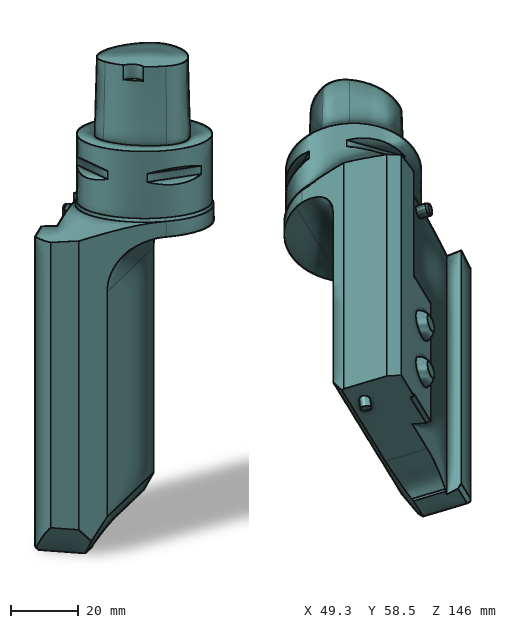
import cadquery as cq
import math


shank_height = 24.0
shank_width_base = 28.3
shank_taper = 1 / 18
lobe_eccentricity = 0.8
key_notch_radius = 3.5
key_notch_center_y = -14.2
key_notch_depth = 4.4

collar_radius = 20.0
collar_height = 20.5
groove_z = -8.1
groove_floor_distance = 17.75
groove_floor_height = 2.5
groove_flank_angle = 30.0
groove_angles = (45, 135, 225, 315)
groove_length = 2 * collar_radius

flange_radius = 20.5
flare_height = 1.0
cone_angle = 15.5
cone_reach = 45.0
body_bottom = -122.0
front_x = -26.0
seat_x = -20.85
y_max = 26.4
y_min = -32.1
back_edge_x = -8.2
corner_x = -22.0
corner_y = 25.0
foot_edge_x = -11.3
foot_corner_x = -19.9
foot_front_y = -27.2
foot_corner_bulge = 0.3

arm_back_x = -3.9
flange_bottom = -26.3
arm_fillet = 15.0

seat_lower_front_y = -20.0
seat_lower_floor_y = -21.3
seat_upper_front_y = 15.5
seat_upper_floor_y = 13.8

wedge_top = -66.3
wedge_front_y = 3.1
wedge_floor_y = 4.7
wedge_bevel_x = 1.25
wedge_bevel_z = 0.8

shelf_bottom = -116.3
shelf_arc_radius = 22.0
shelf_arc_start_y = -6.5
bevel_angle = 30.0
foot_bevel_height = (foot_front_y - y_min) / math.tan(math.radians(bevel_angle))
back_bevel_height = 11.7
toe_bevel_x = 1.2
toe_bevel_z = 1.3

screw_y = 9.3
screw_zs = (-82.0, -101.0)
screw_radius = 9.5 / 2
screw_tip_radius = 2.6
screw_height = 2.75
screw_bulge = 0.35

pin_z = -25.2
pin_radius = 2.0
pin_tip_radius = 3.3 / 2
pin_length = 3.75
pin_bevel = 0.7

nozzle_x = -12.0
nozzle_y = 19.7
nozzle_radius = 3.3 / 2
nozzle_length = 2.8
nozzle_tilt = -20.0

embed = 1.0


def polar(radius, degrees):
    angle = math.radians(degrees)
    return (radius * math.cos(angle), radius * math.sin(angle))


def tangent_point(x, y, side):
    """Where the line from (x, y) touches the flange circle; side is +1 or -1 around Z."""
    offset = math.acos(flange_radius / math.hypot(x, y))
    angle = math.atan2(y, x) + side * offset
    return (flange_radius * math.cos(angle), flange_radius * math.sin(angle))


def shank_section(half_width, z):
    """Constant-width section: three lobe arcs and three flank arcs."""
    lobe_center = 2 * lobe_eccentricity / (2 - math.sqrt(3))
    lobe_radius = half_width + lobe_eccentricity - lobe_center
    joint_x = lobe_center + lobe_radius * math.cos(math.radians(30))
    joint_y = lobe_radius * math.sin(math.radians(30))
    joint_distance = math.hypot(joint_x, joint_y)
    joint_angle = math.degrees(math.atan2(joint_y, joint_x))
    lobe_angles = (90, 210, 330)
    edges = cq.Workplane("XY", origin=(0, 0, z))
    edges = edges.moveTo(*polar(joint_distance, lobe_angles[0] - joint_angle))
    for lobe in lobe_angles:
        lobe_tip = polar(half_width + lobe_eccentricity, lobe)
        edges = edges.threePointArc(lobe_tip, polar(joint_distance, lobe + joint_angle))
        flank_middle = polar(half_width - lobe_eccentricity, lobe + 60)
        edges = edges.threePointArc(flank_middle, polar(joint_distance, lobe + 120 - joint_angle))
    return edges.close().val()


def make_shank():
    base_half = shank_width_base / 2
    top_half = base_half - shank_height * shank_taper / 2
    sections = [shank_section(base_half, 0), shank_section(top_half, shank_height)]
    shank = cq.Workplane(cq.Solid.makeLoft(sections, True))
    notch = (
        cq.Workplane("XY", origin=(0, key_notch_center_y, shank_height - key_notch_depth))
        .circle(key_notch_radius)
        .extrude(key_notch_depth)
    )
    return shank.cut(notch)


def make_collar():
    collar = cq.Workplane("XY").circle(collar_radius).extrude(-collar_height)
    depth = collar_radius - groove_floor_distance
    floor_half = groove_floor_height / 2
    mouth_half = floor_half + depth * math.tan(math.radians(groove_flank_angle))
    groove = (
        cq.Workplane("XZ", origin=(0, groove_length / 2, groove_z))
        .polyline(
            [
                (groove_floor_distance, -floor_half),
                (collar_radius, -mouth_half),
                (collar_radius, mouth_half),
                (groove_floor_distance, floor_half),
            ]
        )
        .close()
        .extrude(groove_length)
    )
    for angle in groove_angles:
        collar = collar.cut(groove.rotate((0, 0, 0), (0, 0, 1), angle))
    return collar


def make_plan():
    """Body in plan, with the tool seat groove in its front."""
    upper_tangent = tangent_point(back_edge_x, y_max, -1)
    lower_tangent = tangent_point(foot_edge_x, y_min, 1)
    return (
        cq.Workplane("XY", origin=(0, 0, body_bottom))
        .moveTo(front_x, corner_y)
        .lineTo(corner_x, y_max)
        .lineTo(back_edge_x, y_max)
        .lineTo(*upper_tangent)
        .threePointArc((flange_radius, 0), lower_tangent)
        .lineTo(foot_edge_x, y_min)
        .lineTo(foot_corner_x, y_min)
        .sagittaArc((front_x, foot_front_y), foot_corner_bulge)
        .lineTo(front_x, seat_lower_front_y)
        .lineTo(seat_x, seat_lower_floor_y)
        .lineTo(seat_x, seat_upper_floor_y)
        .lineTo(front_x, seat_upper_front_y)
        .close()
        .extrude(-body_bottom)
    )


def make_envelope():
    """Round envelope whose top is the sloping shoulder below the collar."""
    flare_bottom = -collar_height - flare_height
    shoulder_drop = (cone_reach - flange_radius) * math.tan(math.radians(cone_angle))
    return (
        cq.Workplane("XZ")
        .moveTo(0, -collar_height)
        .lineTo(collar_radius, -collar_height)
        .lineTo(flange_radius, flare_bottom)
        .lineTo(cone_reach, flare_bottom - shoulder_drop)
        .lineTo(cone_reach, body_bottom)
        .lineTo(0, body_bottom)
        .close()
        .revolve(360, (0, 0, 0), (0, 1, 0))
    )


def make_side_profile():
    """Body seen along Y: flange, filleted arm and bevelled bottom."""
    fillet_mid = polar(arm_fillet, 135)
    fillet_center = (arm_back_x + arm_fillet, flange_bottom - arm_fillet)
    back_bevel_width = back_bevel_height * math.tan(math.radians(bevel_angle))
    return (
        cq.Workplane("XZ", origin=(0, cone_reach, 0))
        .moveTo(front_x, 0)
        .lineTo(flange_radius, 0)
        .lineTo(flange_radius, flange_bottom)
        .lineTo(fillet_center[0], flange_bottom)
        .threePointArc(
            (fillet_center[0] + fillet_mid[0], fillet_center[1] + fillet_mid[1]),
            (arm_back_x, fillet_center[1]),
        )
        .lineTo(arm_back_x, body_bottom + back_bevel_height)
        .lineTo(arm_back_x - back_bevel_width, body_bottom)
        .lineTo(front_x + toe_bevel_x, body_bottom)
        .lineTo(front_x, body_bottom + toe_bevel_z)
        .close()
        .extrude(2 * cone_reach)
    )


def make_front_profile():
    """Body seen along X: raised shelf, the arc down to the foot and the foot bevel."""
    arc_center_z = shelf_bottom - shelf_arc_radius

    def arc_point(y):
        run = shelf_arc_start_y - y
        return (y, arc_center_z + math.sqrt(shelf_arc_radius**2 - run**2))

    arc_middle_y = (shelf_arc_start_y + seat_lower_front_y) / 2
    return (
        cq.Workplane("YZ", origin=(-cone_reach, 0, 0))
        .moveTo(y_max, 0)
        .lineTo(y_max, shelf_bottom)
        .lineTo(shelf_arc_start_y, shelf_bottom)
        .threePointArc(arc_point(arc_middle_y), arc_point(seat_lower_front_y))
        .lineTo(seat_lower_front_y, body_bottom)
        .lineTo(foot_front_y, body_bottom)
        .lineTo(y_min, body_bottom + foot_bevel_height)
        .lineTo(y_min, 0)
        .close()
        .extrude(2 * cone_reach)
    )


def make_wedge():
    plan = (
        cq.Workplane("XY", origin=(0, 0, shelf_bottom))
        .polyline(
            [
                (front_x, seat_upper_front_y),
                (seat_x, seat_upper_floor_y),
                (seat_x, wedge_floor_y),
                (front_x, wedge_front_y),
            ]
        )
        .close()
        .extrude(wedge_top - shelf_bottom)
    )
    side = (
        cq.Workplane("XZ", origin=(0, seat_upper_front_y, 0))
        .polyline(
            [
                (seat_x, shelf_bottom),
                (front_x + wedge_bevel_x, shelf_bottom),
                (front_x, shelf_bottom + wedge_bevel_z),
                (front_x, wedge_top - wedge_bevel_z),
                (front_x + wedge_bevel_x, wedge_top),
                (seat_x, wedge_top),
            ]
        )
        .close()
        .extrude(seat_upper_front_y - wedge_front_y)
    )
    return plan.intersect(side)


def make_screw(z):
    """Button head standing on the front face."""
    return (
        cq.Workplane("XY", origin=(front_x, screw_y, z))
        .moveTo(embed, 0)
        .lineTo(embed, screw_radius)
        .lineTo(0, screw_radius)
        .sagittaArc((-screw_height, screw_tip_radius), -screw_bulge)
        .lineTo(-screw_height, 0)
        .close()
        .revolve(360, (0, 0, 0), (1, 0, 0))
    )


def make_pin():
    return (
        cq.Workplane("XY", origin=(seat_x, 0, pin_z))
        .moveTo(embed, 0)
        .lineTo(embed, pin_radius)
        .lineTo(pin_bevel - pin_length, pin_radius)
        .lineTo(-pin_length, pin_tip_radius)
        .lineTo(-pin_length, 0)
        .close()
        .revolve(360, (0, 0, 0), (1, 0, 0))
    )


def make_nozzle():
    tilt_axis_start = (nozzle_x, nozzle_y, shelf_bottom)
    tilt_axis_end = (nozzle_x + nozzle_radius, nozzle_y, shelf_bottom)
    nozzle = (
        cq.Workplane("XY", origin=(nozzle_x, nozzle_y, shelf_bottom + embed))
        .circle(nozzle_radius)
        .extrude(-nozzle_length - embed)
    )
    return nozzle.rotate(tilt_axis_start, tilt_axis_end, nozzle_tilt)


body = make_plan().intersect(make_envelope())
body = body.intersect(make_side_profile()).intersect(make_front_profile())
result = body.union(make_collar()).union(make_shank()).union(make_wedge())
for screw_z in screw_zs:
    result = result.union(make_screw(screw_z))
result = result.union(make_pin()).union(make_nozzle())